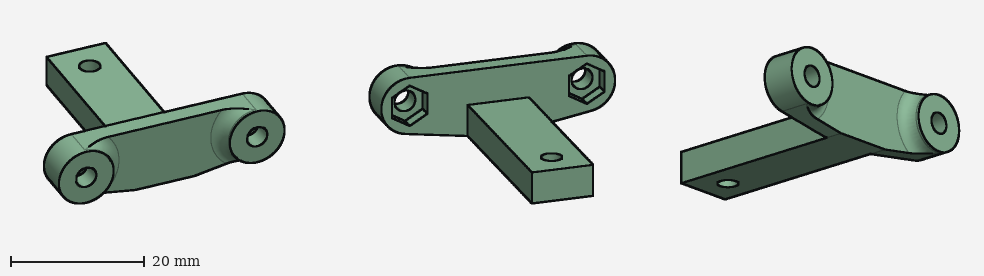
import cadquery as cq
import math

overall_width = 37.0
overall_height = 10.5
boss_diameter = 9.0
web_thickness = 3.0
boss_length = 5.5
fillet_radius = 2.0

arm_length = 29.5
arm_width = 9.7
arm_height = 5.0
arm_hole_diameter = 3.2
arm_hole_inset = 5.05

mount_hole_diameter = 3.3
nut_across_flats = 5.6
nut_pocket_depth = 2.2

boss_radius = boss_diameter / 2
boss_y = overall_width / 2 - boss_radius
boss_z = overall_height - boss_radius
boss_sides = (-1, 1)


corner_y = arm_width / 2
slope_run = boss_y - corner_y
center_angle = math.atan2(boss_z, slope_run)
tangent_offset = math.asin(boss_radius / math.hypot(slope_run, boss_z))
slope_angle = center_angle - tangent_offset
tangent_y = boss_y + boss_radius * math.sin(slope_angle)
tangent_z = boss_z - boss_radius * math.cos(slope_angle)


def make_web():
    """Plate with rounded ends, its back face at X = 0."""
    return (
        cq.Workplane("YZ")
        .moveTo(-corner_y, 0)
        .lineTo(corner_y, 0)
        .lineTo(tangent_y, tangent_z)
        .threePointArc((boss_y + boss_radius, boss_z), (boss_y, overall_height))
        .lineTo(-boss_y, overall_height)
        .threePointArc((-boss_y - boss_radius, boss_z), (-tangent_y, tangent_z))
        .close()
        .extrude(web_thickness)
    )


def make_boss(side):
    """Round end standing forward of the web."""
    return (
        cq.Workplane("YZ", origin=(web_thickness, side * boss_y, boss_z))
        .circle(boss_radius)
        .extrude(boss_length - web_thickness)
    )


def make_flare(side):
    """Concave flare on the inner side of a boss, trimmed by the top and the slope."""
    flare_end = web_thickness + fillet_radius
    flare_outer = boss_radius + fillet_radius
    arc_reach = fillet_radius * math.sqrt(0.5)
    arc_middle = (flare_end - arc_reach, flare_outer - arc_reach)
    ring = (
        cq.Workplane("XY")
        .moveTo(web_thickness, 0)
        .lineTo(web_thickness, flare_outer)
        .threePointArc(arc_middle, (flare_end, boss_radius))
        .lineTo(flare_end, 0)
        .close()
        .revolve(360, (0, 0, 0), (1, 0, 0))
        .translate((0, side * boss_y, boss_z))
    )
    inner_sector = (
        cq.Workplane("YZ", origin=(web_thickness, 0, 0))
        .moveTo(side * boss_y, boss_z)
        .lineTo(side * boss_y, overall_height)
        .lineTo(0, overall_height)
        .lineTo(0, 0)
        .lineTo(side * corner_y, 0)
        .lineTo(side * tangent_y, tangent_z)
        .close()
        .extrude(fillet_radius)
    )
    return ring.intersect(inner_sector)


def make_arm():
    """Bar with a vertical hole near its free end."""
    bar = cq.Workplane("XY").box(
        arm_length, arm_width, arm_height, centered=(False, True, False)
    )
    hole = (
        cq.Workplane("XY")
        .center(arm_hole_inset, 0)
        .circle(arm_hole_diameter / 2)
        .extrude(arm_height)
    )
    return bar.cut(hole).translate((-arm_length, 0, 0))


def make_mount_cutter(side):
    """Through hole and nut pocket, with two hexagon corners on the vertical."""
    hole = cq.Workplane("YZ").circle(mount_hole_diameter / 2).extrude(boss_length)
    across_corners = nut_across_flats / math.cos(math.pi / 6)
    pocket = (
        cq.Workplane("YZ")
        .polygon(6, across_corners)
        .extrude(nut_pocket_depth)
        .rotate((0, 0, 0), (1, 0, 0), 90)
    )
    return hole.union(pocket).translate((0, side * boss_y, boss_z))


result = make_web().union(make_arm())
for boss_side in boss_sides:
    result = result.union(make_boss(boss_side)).union(make_flare(boss_side))
    result = result.cut(make_mount_cutter(boss_side))